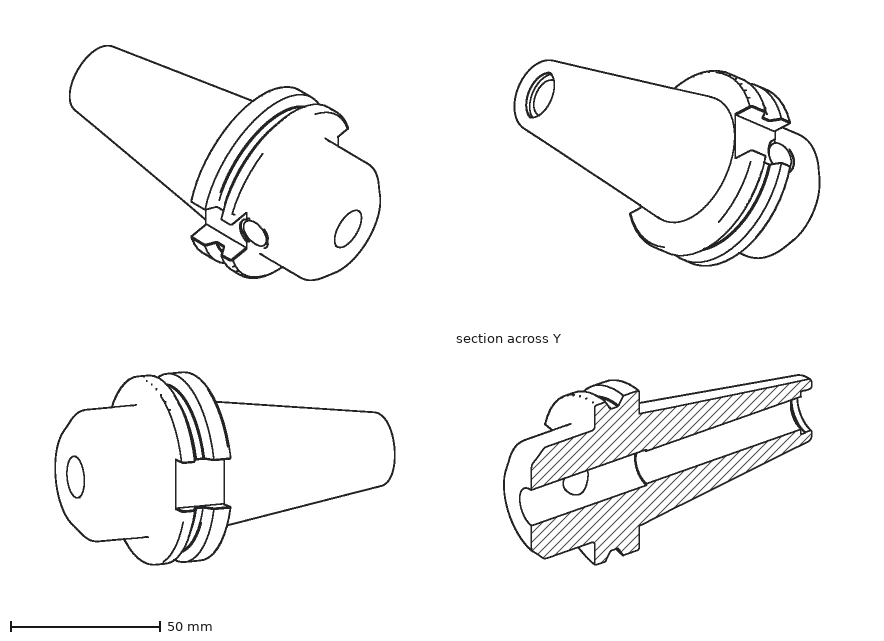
import cadquery as cq
import math

margin = 1.1
tolerance = 0.01

overall_length = 112.7
gauge_x = 68.4
flange_start_x = 69.3
flange_end_x = 87.3

gauge_radius = 22.2
taper_ratio = 7 / 24
small_end_radius = gauge_radius - gauge_x * taper_ratio / 2
small_end_round = 2.0
nose_chamfer = 5.3
nose_round = 2.0

flange_diameter = 63.5
flange_radius = flange_diameter / 2
flange_edge_round = 0.8
neck_fillet = 1.0
groove_center_x = 79.3
groove_mouth_width = 7.1
groove_floor_radius = 28.2
groove_wall_angle = 30.0
groove_floor_fillet = 0.5

slot_width = 16.3
slot_edge_chamfer = 0.3
shallow_floor_y = 24.9
deep_floor_y = -22.5

mouth_diameter = 16.3
mouth_round = 0.9
undercut_start_x = 2.7
undercut_end_x = 4.4
undercut_diameter = 16.8
through_diameter = 12.7
tool_bore_diameter = 14.0
tool_bore_depth = 46.2

screw_x = 90.3
screw_diameter = 10.0
screw_spotface_diameter = 12.1
screw_spotface_y = -21.8


def make_shank():
    """Taper, short neck and nose in one revolved profile."""
    shank = (
        cq.Workplane("XY")
        .moveTo(0, 0)
        .lineTo(0, small_end_radius)
        .lineTo(gauge_x, gauge_radius)
        .lineTo(overall_length - nose_chamfer, gauge_radius)
        .lineTo(overall_length, gauge_radius - nose_chamfer)
        .lineTo(overall_length, 0)
        .close()
        .revolve(360, (0, 0, 0), (1, 0, 0))
    )
    shank = shank.faces("<X").edges().fillet(small_end_round)
    nose_start = overall_length - nose_chamfer
    nose_edges = cq.selectors.BoxSelector(
        (nose_start - margin, -gauge_radius - margin, -gauge_radius - margin),
        (overall_length + margin, gauge_radius + margin, gauge_radius + margin),
        boundingbox=True,
    )
    return shank.edges(nose_edges).edges("%CIRCLE").fillet(nose_round)


def make_flange():
    """Disc with rounded edges and a V-groove around its rim."""
    flange = (
        cq.Workplane("YZ", origin=(flange_start_x, 0, 0))
        .circle(flange_radius)
        .extrude(flange_end_x - flange_start_x)
        .edges("%CIRCLE")
        .fillet(flange_edge_round)
    )
    groove_depth = flange_radius - groove_floor_radius
    half_mouth = groove_mouth_width / 2
    half_floor = half_mouth - groove_depth * math.tan(math.radians(groove_wall_angle))
    groove_outer_radius = flange_radius + margin
    groove = (
        cq.Workplane("XY")
        .moveTo(groove_center_x - half_mouth, groove_outer_radius)
        .lineTo(groove_center_x - half_mouth, flange_radius)
        .lineTo(groove_center_x - half_floor, groove_floor_radius)
        .lineTo(groove_center_x + half_floor, groove_floor_radius)
        .lineTo(groove_center_x + half_mouth, flange_radius)
        .lineTo(groove_center_x + half_mouth, groove_outer_radius)
        .close()
        .revolve(360, (0, 0, 0), (1, 0, 0))
    )
    floor_edges = cq.selectors.RadiusNthSelector(0)
    groove = groove.edges("%CIRCLE").edges(floor_edges).fillet(groove_floor_fillet)
    return flange.cut(groove)


def cut_drive_slot(flange, floor_y):
    """Cut one slot through the rim and break the edges of its side walls."""
    side = math.copysign(1, floor_y)
    outer_y = side * (flange_radius + margin)
    slot = cq.Workplane("XY").box(
        flange_end_x - flange_start_x, abs(outer_y - floor_y), slot_width
    )
    slot = slot.translate(((flange_start_x + flange_end_x) / 2, (outer_y + floor_y) / 2, 0))
    flange = flange.cut(slot)
    half_width = slot_width / 2
    for wall_z in (-half_width, half_width):
        wall_edges = cq.selectors.BoxSelector(
            (flange_start_x - margin, floor_y + side * tolerance, wall_z - tolerance),
            (flange_end_x + margin, outer_y, wall_z + tolerance),
            boundingbox=True,
        )
        flange = flange.edges(wall_edges).chamfer(slot_edge_chamfer)
    return flange


def make_axial_bore():
    """Stepped cutter for the rounded mouth, undercut, through hole and tool bore."""
    mouth_radius = mouth_diameter / 2
    undercut_radius = undercut_diameter / 2
    through_radius = through_diameter / 2
    tool_radius = tool_bore_diameter / 2
    tool_bore_start_x = overall_length - tool_bore_depth
    return (
        cq.Workplane("XY")
        .moveTo(0, 0)
        .lineTo(0, mouth_radius + mouth_round)
        .radiusArc((mouth_round, mouth_radius), -mouth_round)
        .lineTo(undercut_start_x, mouth_radius)
        .lineTo(undercut_start_x, undercut_radius)
        .lineTo(undercut_end_x, undercut_radius)
        .lineTo(undercut_end_x, through_radius)
        .lineTo(tool_bore_start_x, through_radius)
        .lineTo(tool_bore_start_x, tool_radius)
        .lineTo(overall_length, tool_radius)
        .lineTo(overall_length, 0)
        .close()
        .revolve(360, (0, 0, 0), (1, 0, 0))
    )


def make_screw_hole():
    """Radial hole from -Y to the tool bore, with a shallow spotface."""
    hole = cq.Workplane("XZ", origin=(screw_x, 0, 0)).circle(screw_diameter / 2).extrude(flange_radius)
    spotface = (
        cq.Workplane("XZ", origin=(screw_x, screw_spotface_y, 0))
        .circle(screw_spotface_diameter / 2)
        .extrude(flange_radius + screw_spotface_y)
    )
    return hole.union(spotface)


def make_neck_fillet_ring():
    """Concave ring blending the back of the flange into the nose."""
    return (
        cq.Workplane("XY")
        .moveTo(flange_end_x, gauge_radius - margin)
        .lineTo(flange_end_x, gauge_radius + neck_fillet)
        .radiusArc((flange_end_x + neck_fillet, gauge_radius), -neck_fillet)
        .lineTo(flange_end_x + neck_fillet, gauge_radius - margin)
        .close()
        .revolve(360, (0, 0, 0), (1, 0, 0))
    )


flange = make_flange()
for slot_floor_y in (shallow_floor_y, deep_floor_y):
    flange = cut_drive_slot(flange, slot_floor_y)

body = make_shank().union(flange).union(make_neck_fillet_ring())
result = body.cut(make_axial_bore()).cut(make_screw_hole())